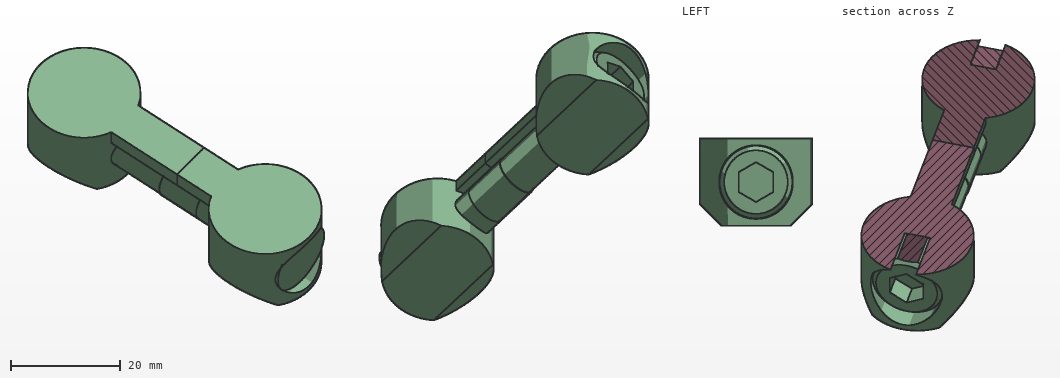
import cadquery as cq
import math

length = 62.85
boss_diameter = 20.55
height = 15.9
boss_center_x = (length - boss_diameter) / 2
axis_z = height / 2
bottom_chamfer = 3.95

bridge_width = 7.85
bridge_thickness = 3.25
joint_x = 3.7

screw_diameter = 7.9
screw_head_diameter = 13.2
screw_face_x = -28.8
screw_head_length = 7.55
screw_head_chamfer = 0.8
screw_tip_x = 8.2
hex_across_flats = 6.3
hex_depth = 3.8

sleeve_diameter = 8.2
sleeve_head_diameter = 13.45
sleeve_start_x = -0.4
sleeve_face_x = 29.55
sleeve_head_length = 5.0

counterbore_diameter = 13.45


def rod(diameter, start_x, end_x):
    """Cylinder along X on the common screw axis."""
    plane = cq.Workplane("YZ", origin=(start_x, 0, axis_z))
    return plane.circle(diameter / 2).extrude(end_x - start_x)


def make_housing(side, hole_diameter, seat_x):
    """Round boss with half of the bridge; side is -1 for left and +1 for right."""
    center_x = side * boss_center_x
    boss = cq.Workplane("XY").center(center_x, 0).circle(boss_diameter / 2).extrude(height)

    half_width = boss_diameter / 2
    flat_half_width = half_width - bottom_chamfer
    profile = (
        cq.Workplane("YZ", origin=(center_x - half_width, 0, 0))
        .moveTo(-flat_half_width, 0)
        .lineTo(flat_half_width, 0)
        .lineTo(half_width, bottom_chamfer)
        .lineTo(half_width, height)
        .lineTo(-half_width, height)
        .lineTo(-half_width, bottom_chamfer)
        .close()
        .extrude(boss_diameter)
    )
    boss = boss.intersect(profile)

    bridge_length = abs(center_x - joint_x)
    bridge = cq.Workplane("XY").box(bridge_length, bridge_width, bridge_thickness).translate(
        ((center_x + joint_x) / 2, 0, height - bridge_thickness / 2)
    )

    inner_x = center_x - side * half_width
    outer_x = center_x + side * half_width
    hole = rod(hole_diameter, min(inner_x, outer_x), max(inner_x, outer_x))
    counterbore = rod(counterbore_diameter, min(seat_x, outer_x), max(seat_x, outer_x))
    return boss.union(bridge).cut(hole).cut(counterbore)


def make_screw():
    """Socket-head screw with its head at the left end."""
    head = rod(screw_head_diameter, screw_face_x, screw_face_x + screw_head_length)
    head = head.faces("<X").chamfer(screw_head_chamfer)
    shank = rod(screw_diameter, screw_face_x + screw_head_length, screw_tip_x)

    hex_across_corners = hex_across_flats / math.cos(math.pi / 6)
    socket = (
        cq.Workplane("YZ", origin=(screw_face_x, 0, axis_z))
        .transformed(rotate=(0, 0, 90))
        .polygon(6, hex_across_corners)
        .extrude(hex_depth)
    )
    return head.union(shank).cut(socket)


def make_sleeve_nut():
    """Headed sleeve with a blind bore around the end of the screw."""
    head = rod(sleeve_head_diameter, sleeve_face_x - sleeve_head_length, sleeve_face_x)
    barrel = rod(sleeve_diameter, sleeve_start_x, sleeve_face_x - sleeve_head_length)
    bore = rod(screw_diameter, sleeve_start_x, screw_tip_x)
    return barrel.union(head).cut(bore)


left_housing = make_housing(-1, screw_diameter, screw_face_x + screw_head_length)
right_housing = make_housing(1, sleeve_diameter, sleeve_face_x - sleeve_head_length)
screw = make_screw()
sleeve_nut = make_sleeve_nut()

result = cq.Compound.makeCompound(
    [left_housing.val(), right_housing.val(), screw.val(), sleeve_nut.val()]
)